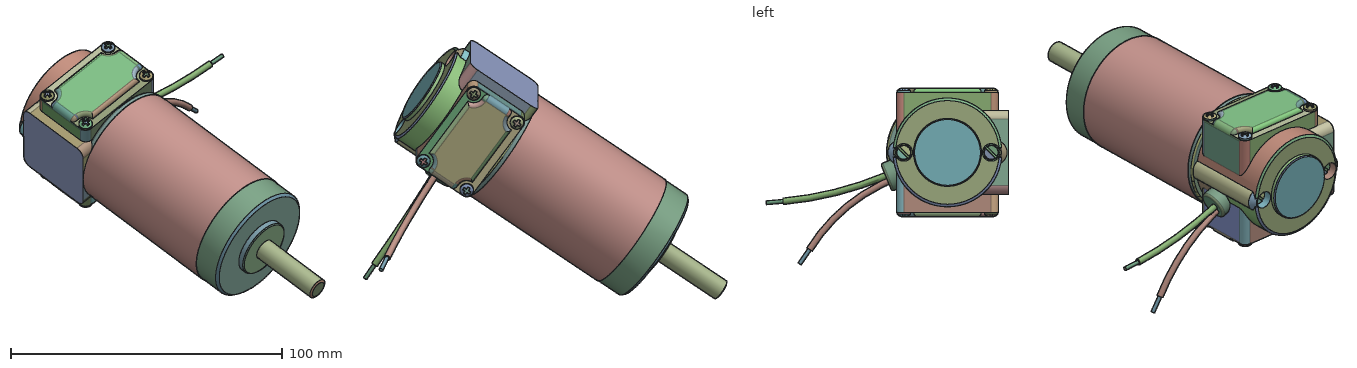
import cadquery as cq
import math


rear_face_x = 1.8
collar_rear_x = 34.7
can_rear_x = 36.9
front_cap_x = 94.7
front_face_x = 105.4
pilot_end_x = 107.9
shaft_end_x = 135.5

rear_boss_diameter = 25.0
rear_disc_diameter = 40.1
can_diameter = 45.0
collar_diameter = 44.6
front_cap_diameter = collar_diameter
pilot_diameter = 22.0
shaft_diameter = 8.0
shaft_chamfer_length = 1.0
small_chamfer = 0.4
edge_chamfer = 1.0
disc_chamfer = 0.5
collar_round = 0.7

screw_spacing_x = 19.5
screw_spacing_y = 32.1
lid_corner_diameter = 5.5
block_center_x = 22.1
block_length = screw_spacing_x + lid_corner_diameter
block_width = screw_spacing_y + lid_corner_diameter
ledge_z = 22.1
lid_top_z = 23.7
lid_round = 1.5
lid_end_round = 2.3
panel_height = 3.7
notch_radius = 3.7

lid_head_diameter = 5.0
lid_head_top_z = 23.8
lid_head_rim_height = 0.7
cross_length = 3.0
cross_width = 1.0
cross_depth = 0.8

pad_start_x = 6.4
pad_height = 31.0
pad_corner_radius = 3.3

bolt_center_y = 16.1
lug_diameter = 9.0
lug_center_y = 17.5
lug_chamfer = 2.0
bolt_hole_diameter = 6.5
bolt_hole_depth = 4
bolt_head_diameter = 5.5
bolt_head_height = 1.5
bolt_head_chamfer = 0.3
slot_width = 0.8
slot_depth = 0.7
slot_angle = 45

grommet_diameter = 11.0
grommet_x = 23
grommet_angle = 22.4
grommet_base_radius = 14.6
grommet_face_radius = 24.4
grommet_round = 0.8
lead_diameter = 2.5
bare_diameter = 1.5

upper_lead_points = ((21.4, 21.7, -8.1), (21.5, 41.9, -14.9), (21.7, 60.6, -18.0), (21.8, 66.8, -18.5))
lower_lead_points = ((21.4, 21.7, -10.6), (20.9, 41.3, -23.8), (20.5, 50.8, -35.8), (20.3, 54.5, -41.0))


def rod(start_x, end_x, diameter, y=0):
    """Cylinder parallel to the shaft axis."""
    return (
        cq.Workplane("YZ", origin=(start_x, y, 0))
        .circle(diameter / 2)
        .extrude(end_x - start_x)
    )


def motor_body():
    boss = rod(0, rear_face_x, rear_boss_diameter).faces("<X").chamfer(small_chamfer)
    disc = (
        rod(rear_face_x, collar_rear_x, rear_disc_diameter)
        .faces("<X")
        .chamfer(disc_chamfer, edge_chamfer)
    )
    collar = rod(collar_rear_x, can_rear_x, collar_diameter).faces("<X").fillet(collar_round)
    can = rod(can_rear_x, front_cap_x, can_diameter)
    cap = rod(front_cap_x, front_face_x, front_cap_diameter).faces(">X").chamfer(edge_chamfer)
    pilot = rod(front_face_x, pilot_end_x, pilot_diameter).faces(">X").chamfer(small_chamfer)
    shaft = (
        rod(pilot_end_x, shaft_end_x, shaft_diameter)
        .faces(">X")
        .chamfer(small_chamfer, shaft_chamfer_length)
    )
    body = boss
    for section in (disc, collar, can, cap, pilot, shaft):
        body = body.union(section)
    return body


def screw_points():
    return [
        (sx * screw_spacing_x / 2, sy * screw_spacing_y / 2)
        for sx in (-1, 1)
        for sy in (-1, 1)
    ]


def rounded_bar(length):
    """Bar between the two lid tops, with its four long edges rounded."""
    return (
        cq.Workplane("XY", origin=(block_center_x, 0, 0))
        .box(length, block_width, 2 * lid_top_z)
        .edges("|X")
        .fillet(lid_end_round)
    )


def block():
    return (
        cq.Workplane("XY", origin=(block_center_x, 0, 0))
        .rect(block_length, block_width)
        .extrude(ledge_z, both=True)
        .edges("|Z")
        .fillet(lid_corner_diameter / 2)
        .intersect(rounded_bar(block_length))
    )


def lid():
    """Raised panel with rounded edges and a notch around each corner screw."""
    base_z = lid_top_z - panel_height
    lid_space = (
        cq.Workplane("XY", origin=(block_center_x, 0, base_z))
        .rect(screw_spacing_x, block_width)
        .extrude(panel_height)
    )
    panel = rounded_bar(screw_spacing_x).intersect(lid_space)
    for x, y in screw_points():
        side = math.copysign(1, y)
        notch = (
            cq.Workplane("XY", origin=(block_center_x + x, y, base_z))
            .circle(notch_radius)
            .extrude(panel_height)
            .union(
                cq.Workplane("XY", origin=(block_center_x + x, y + side * notch_radius, base_z))
                .rect(2 * notch_radius, 2 * notch_radius)
                .extrude(panel_height)
            )
        )
        panel = panel.cut(notch)
    return panel.faces(">Z").edges().fillet(lid_round)


def lid_screws():
    """Domed screw heads with a cross recess."""
    radius = lid_head_diameter / 2
    height = lid_head_top_z - ledge_z
    rise = height - lid_head_rim_height
    dome_radius = (radius**2 + rise**2) / (2 * rise)
    dome = (
        cq.Workplane("XY", origin=(block_center_x, 0, lid_head_top_z - dome_radius))
        .pushPoints(screw_points())
        .sphere(dome_radius)
    )
    heads = (
        cq.Workplane("XY", origin=(block_center_x, 0, ledge_z))
        .pushPoints(screw_points())
        .circle(radius)
        .extrude(height)
        .intersect(dome)
    )
    for length, width in ((cross_length, cross_width), (cross_width, cross_length)):
        heads = heads.cut(
            cq.Workplane("XY", origin=(block_center_x, 0, lid_head_top_z))
            .pushPoints(screw_points())
            .rect(length, width)
            .extrude(-cross_depth)
        )
    return heads


def side_pad():
    return (
        cq.Workplane("XZ", origin=((pad_start_x + can_rear_x) / 2, 0, 0))
        .rect(can_rear_x - pad_start_x, pad_height)
        .extrude(can_diameter / 2)
        .edges("|Y")
        .fillet(pad_corner_radius)
    )


def lug(side):
    return (
        rod(rear_face_x, collar_rear_x, lug_diameter, side * lug_center_y)
        .faces("<X")
        .chamfer(lug_chamfer)
    )


def bolt_hole(side):
    return rod(rear_face_x, rear_face_x + bolt_hole_depth, bolt_hole_diameter, side * bolt_center_y)


def bolt_head(side):
    y = side * bolt_center_y
    floor_x = rear_face_x + bolt_hole_depth
    head_x = floor_x - bolt_head_height
    slot = (
        cq.Workplane("YZ", origin=(head_x, y, 0))
        .transformed(rotate=(0, 0, slot_angle))
        .rect(bolt_head_diameter, slot_width)
        .extrude(slot_depth)
    )
    head = rod(head_x, floor_x, bolt_head_diameter, y).faces("<X").chamfer(bolt_head_chamfer)
    return head.cut(slot)


def grommet():
    angle = math.radians(grommet_angle)
    outward = cq.Vector(0, math.cos(angle), -math.sin(angle))
    plane = cq.Plane(origin=(grommet_x, 0, 0), xDir=(1, 0, 0), normal=outward.toTuple())
    return (
        cq.Workplane(plane)
        .workplane(offset=grommet_base_radius)
        .circle(grommet_diameter / 2)
        .extrude(grommet_face_radius - grommet_base_radius)
        .faces(cq.selectors.DirectionMinMaxSelector(outward, True))
        .edges()
        .fillet(grommet_round)
    )


def lead(root, middle, end, tip):
    """Insulated lead curving from root to end, then a straight bare wire to the tip."""
    root, middle, end, tip = (cq.Vector(*p) for p in (root, middle, end, tip))
    curve = cq.Edge.makeThreePointArc(root, middle, end)
    insulation = (
        cq.Workplane(cq.Plane(origin=root.toTuple(), normal=curve.tangentAt(0).toTuple()))
        .circle(lead_diameter / 2)
        .sweep(cq.Workplane(cq.Wire.assembleEdges([curve])))
    )
    bare = cq.Solid.makeCylinder(bare_diameter / 2, (tip - end).Length, end, tip - end)
    return insulation.union(cq.Workplane(bare))


housing = motor_body().union(block()).union(side_pad())
for side in (-1, 1):
    housing = housing.union(lug(side))
for side in (-1, 1):
    housing = housing.cut(bolt_hole(side)).union(bolt_head(side))

top_lid = lid().union(lid_screws())
housing = housing.union(top_lid).union(top_lid.mirror("XY"))

result = housing.union(grommet()).union(lead(*upper_lead_points)).union(lead(*lower_lead_points))